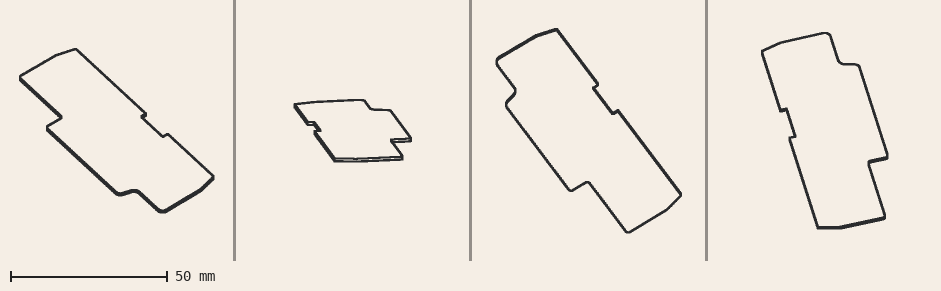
import cadquery as cq
import math

length = 74.5
width = 28.6
thickness = 1.0

taper_run = 1.7
taper_height = 6.7
right_draft_angle = 0.8

notch_left = 37.7
notch_width = 11.25
notch_depth = 2.0

tab_left = 22.5
tab_right = 59.85
left_shoulder = 6.8
right_shoulder = 5.9
tab_flank_angle = 15.0

fine_radius = 0.3
corner_radius = 1.0
tab_radius = 1.8
flank_root_radius = 2.2
right_foot_radius = 1.95

taper_foot = width - taper_height
draft = math.radians(right_draft_angle)
right_foot = length + right_foot_radius * (1 / math.cos(draft) + math.tan(draft) - 1)
right_edge = right_foot - (taper_foot - right_shoulder) * math.tan(draft)
notch_right = notch_left + notch_width
notch_floor = width - notch_depth
flank_top = tab_right + right_shoulder * math.tan(math.radians(tab_flank_angle))

corners = [
    (tab_left, 0, corner_radius),
    (tab_right, 0, tab_radius),
    (flank_top, right_shoulder, flank_root_radius),
    (right_foot, right_shoulder, right_foot_radius),
    (right_edge, taper_foot, 0),
    (right_edge - taper_run, width, fine_radius),
    (notch_right, width, fine_radius),
    (notch_right, notch_floor, 0),
    (notch_left, notch_floor, fine_radius),
    (notch_left, width, 0),
    (taper_run, width, fine_radius),
    (0, taper_foot, 0),
    (0, left_shoulder, corner_radius),
    (tab_left, left_shoulder, corner_radius),
]


def round_corner(plate, x, y, radius):
    """Fillet the upright edge standing at (x, y)."""
    edge = plate.edges(cq.NearestToPointSelector((x, y, thickness / 2)))
    return edge.fillet(radius)


outline = [(x, y) for x, y, radius in corners]
result = cq.Workplane("XY").polyline(outline).close().extrude(thickness)
for x, y, radius in corners:
    if radius > 0:
        result = round_corner(result, x, y, radius)